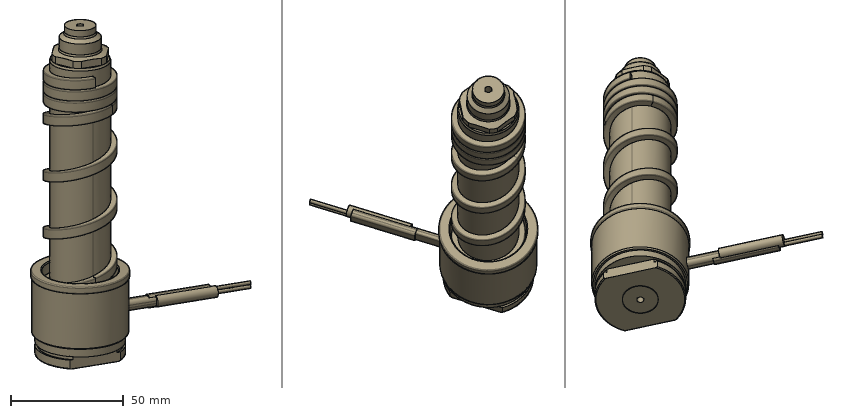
import cadquery as cq
import math

TOTAL_HEIGHT = 156.3
SIDE_REACH = 83.5

BORE_RADIUS = 1.5
TIP_RADIUS = 7.0
TIP_BOTTOM = 153.3
TIP_SHOULDER_RADIUS = 7.3
TIP_SHOULDER_BOTTOM = 152.4
NECK_RADIUS = 9.4
NECK_TOP = 150.8
NECK_BOTTOM = 145.7
NECK_FLARE_RADIUS = 9.7
NECK_FLARE_BOTTOM = 144.7
HEX_ACROSS_FLATS = 24.4
HEX_CORNER_RADIUS = 13.1
HEX_TOP = 144.0
HEX_BOTTOM = 140.7
BARREL_RADIUS = 13.6
BARREL_CHAMFER_WIDTH = 0.5
BARREL_CHAMFER_HEIGHT = 1.1

RIM_RADIUS = 22.0
RIM_TOP = 40.2
RIM_HEIGHT = 3.3
RIM_FILLET = 0.5
HOUSING_RADIUS = 21.5
HOUSING_BOTTOM = 10.3
HOUSING_CHAMFER = 0.6
WELL_RADIUS = 17.0
WELL_FLOOR = 14.8
WELL_CHAMFER = 0.5

BASE_RADIUS = 20.2
COLLAR_BOTTOM = 6.4
GROOVE_RADIUS = 19.2
FLANGE_TOP = 4.7
FOOT_HEIGHT = 0.3
FOOT_RADIUS = 8.0
BASE_CHAMFER = 0.5
BASE_FLAT_DISTANCE = 16.0

COIL_OUTER_RADIUS = 16.4
COIL_INNER_RADIUS = 12.5
COIL_RADIUS = (COIL_OUTER_RADIUS + COIL_INNER_RADIUS) / 2
COIL_HEIGHT = 4.7
COIL_FILLET = 0.3
COIL_START_HEIGHT = 134.4
TIGHT_PITCH = 5.3
TIGHT_TURNS = 2.9
BLEND_TURNS = 0.4
OPEN_TURNS = 2.7
OPEN_PITCH = 27.0
BLEND_POINTS = 12

LEAD_HEIGHT = 19.4
WIRE_RADIUS = 0.86
WIRE_X = -1.4
WIRE_SPACING = 1.9
TUBE_RADIUS = 2.7
TUBE_START = 36.7
TUBE_END = 66.1
SLEEVE_X = -1.5
SLEEVE_WIDTH = 3.9
SLEEVE_HEIGHT = 6.0
SLEEVE_FILLET = 1.3
SLEEVE_START = 33.5
SLEEVE_END = 63.6
STRIP_X = -0.8
STRIP_WIDTH = 3.9
STRIP_HEIGHT = 5.2
STRIP_SHARP_FILLET = 0.3
STRIP_ROUND_FILLET = 2.0
STRIP_START = 19.5


def disc(radius, bottom, top):
    return cq.Workplane("XY").workplane(offset=bottom).circle(radius).extrude(top - bottom)


def nozzle():
    """Barrel, hexagon and stepped tip on one axis."""
    profile = [
        (0, WELL_FLOOR - 1.5),
        (BARREL_RADIUS, WELL_FLOOR - 1.5),
        (BARREL_RADIUS, HEX_BOTTOM - BARREL_CHAMFER_HEIGHT),
        (BARREL_RADIUS - BARREL_CHAMFER_WIDTH, HEX_BOTTOM),
        (NECK_FLARE_RADIUS, HEX_BOTTOM),
        (NECK_FLARE_RADIUS, NECK_FLARE_BOTTOM),
        (NECK_RADIUS, NECK_BOTTOM),
        (NECK_RADIUS, NECK_TOP),
        (TIP_SHOULDER_RADIUS, TIP_SHOULDER_BOTTOM),
        (TIP_RADIUS, TIP_BOTTOM),
        (TIP_RADIUS, TOTAL_HEIGHT),
        (0, TOTAL_HEIGHT),
    ]
    turned = cq.Workplane("XZ").polyline(profile).close().revolve(360, (0, 0), (0, 1))
    return turned.union(hexagon())


def hexagon():
    """Hexagon with flats on +X and -X, its corners turned round and its top coned."""
    corner_diameter = HEX_ACROSS_FLATS / math.cos(math.pi / 6)
    prism = (
        cq.Workplane("XY").workplane(offset=HEX_BOTTOM)
        .transformed(rotate=(0, 0, 30))
        .polygon(6, corner_diameter).extrude(NECK_FLARE_BOTTOM - HEX_BOTTOM)
    )
    envelope = (
        cq.Workplane("XZ")
        .polyline([
            (0, HEX_BOTTOM),
            (HEX_CORNER_RADIUS, HEX_BOTTOM),
            (HEX_CORNER_RADIUS, HEX_TOP),
            (NECK_FLARE_RADIUS, NECK_FLARE_BOTTOM),
            (0, NECK_FLARE_BOTTOM),
        ])
        .close().revolve(360, (0, 0), (0, 1))
    )
    return prism.intersect(envelope)


def housing():
    """Cup with a rolled rim, open at the top."""
    rim = disc(RIM_RADIUS, RIM_TOP - RIM_HEIGHT, RIM_TOP).edges().fillet(RIM_FILLET)
    body = disc(HOUSING_RADIUS, HOUSING_BOTTOM, RIM_TOP - RIM_HEIGHT).faces("<Z").chamfer(HOUSING_CHAMFER)
    well = (
        cq.Workplane("XZ")
        .polyline([
            (0, WELL_FLOOR),
            (WELL_RADIUS, WELL_FLOOR),
            (WELL_RADIUS, RIM_TOP - WELL_CHAMFER),
            (WELL_RADIUS + WELL_CHAMFER, RIM_TOP),
            (0, RIM_TOP),
        ])
        .close().revolve(360, (0, 0), (0, 1))
    )
    return body.union(rim).cut(well)


def base():
    """Grooved base with two flats, standing on a small round foot."""
    collar = disc(BASE_RADIUS, COLLAR_BOTTOM, HOUSING_BOTTOM)
    groove = disc(GROOVE_RADIUS, FLANGE_TOP, COLLAR_BOTTOM)
    flange = disc(BASE_RADIUS, FOOT_HEIGHT, FLANGE_TOP).faces("<Z").chamfer(BASE_CHAMFER)
    between_flats = cq.Workplane("XY").box(
        2 * BASE_FLAT_DISTANCE, 2 * BASE_RADIUS, COLLAR_BOTTOM, centered=(True, True, False)
    )
    foot = disc(FOOT_RADIUS, 0, FOOT_HEIGHT)
    return collar.union(groove.union(flange).intersect(between_flats)).union(foot)


def coil_section():
    """Rounded flat-wire section standing upright at the coil radius on the +X side."""
    outline = cq.Sketch().rect(COIL_OUTER_RADIUS - COIL_INNER_RADIUS, COIL_HEIGHT)
    return cq.Workplane("XZ").center(COIL_RADIUS, 0).placeSketch(outline.vertices().fillet(COIL_FILLET))


def even_stretch(pitch, turns):
    """Coil of constant pitch rising from the +X side."""
    helix = cq.Wire.makeHelix(pitch, pitch * turns, COIL_RADIUS)
    return coil_section().sweep(cq.Workplane(helix), isFrenet=True)


def blend_stretch(start_pitch, end_pitch):
    """Coil rising from the +X side while its pitch changes evenly from one value to the other."""

    def point(part):
        angle = 2 * math.pi * part * BLEND_TURNS
        rise = BLEND_TURNS * (start_pitch * part + (end_pitch - start_pitch) * part ** 2 / 2)
        return COIL_RADIUS * math.cos(angle), COIL_RADIUS * math.sin(angle), rise

    path = cq.Workplane("XY").parametricCurve(point, N=BLEND_POINTS, makeWire=True).val()
    guide = path.translate(cq.Vector(0, 0, COIL_HEIGHT))
    return coil_section().sweep(cq.Workplane(path), auxSpine=cq.Workplane(guide))


def coil():
    """Flat-wire coil with closed turns at both ends, ending at the top on the +X side."""
    blend_drop = BLEND_TURNS * (TIGHT_PITCH + OPEN_PITCH) / 2
    tight_drop = TIGHT_PITCH * TIGHT_TURNS
    stretches = [
        (even_stretch(TIGHT_PITCH, TIGHT_TURNS), TIGHT_TURNS, tight_drop),
        (blend_stretch(OPEN_PITCH, TIGHT_PITCH), BLEND_TURNS, blend_drop),
        (even_stretch(OPEN_PITCH, OPEN_TURNS), OPEN_TURNS, OPEN_PITCH * OPEN_TURNS),
        (blend_stretch(TIGHT_PITCH, OPEN_PITCH), BLEND_TURNS, blend_drop),
        (even_stretch(TIGHT_PITCH, TIGHT_TURNS), TIGHT_TURNS, tight_drop),
    ]
    turns = 0
    height = COIL_START_HEIGHT
    placed = []
    for stretch, stretch_turns, drop in stretches:
        turns += stretch_turns
        height -= drop
        placed.append(stretch.rotate((0, 0, 0), (0, 0, 1), -360 * turns).translate((0, 0, height)))
    return placed


def lead_plane(x, z, start):
    """Plane facing +Y at the given start."""
    return cq.Workplane(cq.Plane((x, start, z), (-1, 0, 0), (0, 1, 0)))


def bar(x, width, height, start, end):
    return lead_plane(x, LEAD_HEIGHT, start).rect(width, height).extrude(end - start)


def leads():
    """Flat strip from the housing, sleeve, round tube and two stacked wires."""
    strip = (
        bar(STRIP_X, STRIP_WIDTH, STRIP_HEIGHT, STRIP_START, TUBE_START)
        .faces("<X").edges("|Y").fillet(STRIP_SHARP_FILLET)
        .faces(">X").edges("|Y").fillet(STRIP_ROUND_FILLET)
    )
    sleeve = bar(SLEEVE_X, SLEEVE_WIDTH, SLEEVE_HEIGHT, SLEEVE_START, SLEEVE_END)
    sleeve = sleeve.edges("|Y").fillet(SLEEVE_FILLET)
    tube = lead_plane(0, LEAD_HEIGHT, TUBE_START).circle(TUBE_RADIUS).extrude(TUBE_END - TUBE_START)
    bundle = strip.union(sleeve).union(tube)
    for side in (-1, 1):
        wire = lead_plane(WIRE_X, LEAD_HEIGHT + side * WIRE_SPACING / 2, SLEEVE_END)
        bundle = bundle.union(wire.circle(WIRE_RADIUS).extrude(SIDE_REACH - SLEEVE_END))
    return bundle


result = nozzle().union(housing()).union(base()).union(leads())
result = result.cut(disc(BORE_RADIUS, 0, TOTAL_HEIGHT))
for stretch in coil():
    result = result.union(stretch, clean=False)